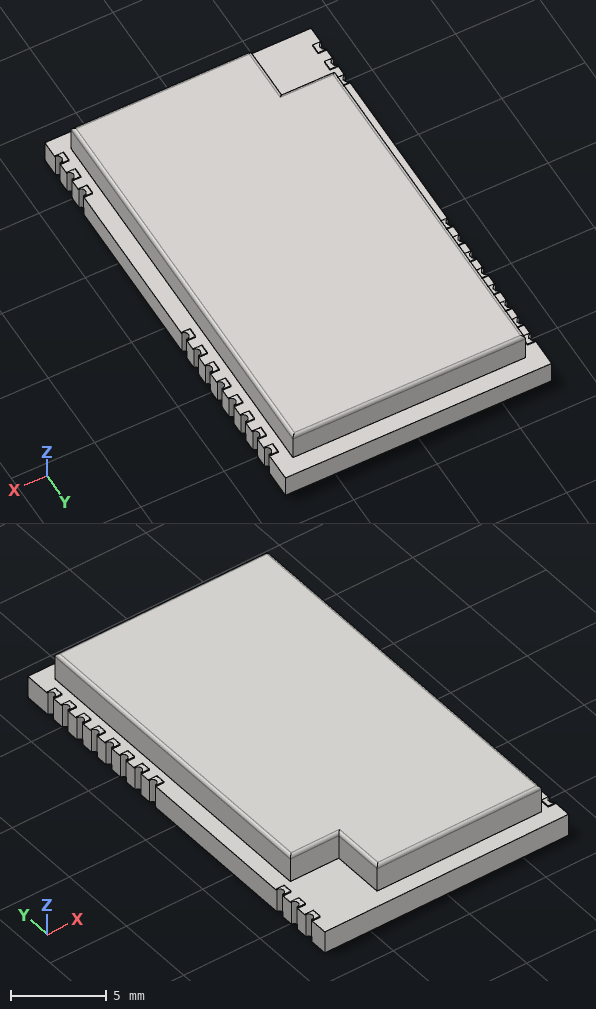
import cadquery as cq

board_width = 16.0
board_length = 26.0
board_thickness = 1.45

overall_height = 3.2
shield_margin = 1.01
corner_x = 4.19
corner_y = 4.37
shield_fillet = 0.2

contact_pitch = 1.27
notch_radius = 0.247
pad_width = 0.6
pad_length = 0.52
pad_thickness = 0.08
rear_count = 8
rear_offset = 2.0
front_count = 3
front_offset = 1.4

half_width = board_width / 2
half_length = board_length / 2

rear_rows = [half_length - rear_offset - i * contact_pitch for i in range(rear_count)]
front_rows = [-half_length + front_offset + i * contact_pitch for i in range(front_count)]
contact_points = [(side * half_width, y) for side in (-1, 1) for y in rear_rows + front_rows]


def make_board():
    return cq.Workplane("XY").box(
        board_width, board_length, board_thickness, centered=(True, True, False)
    )


def make_shield():
    """L-shaped can standing on the board, rounded along its top rim."""
    side = half_width - shield_margin
    end = half_length - shield_margin
    inner_x = -half_width + corner_x
    inner_y = -half_length + corner_y
    outline = [
        (-side, end),
        (side, end),
        (side, -end),
        (inner_x, -end),
        (inner_x, inner_y),
        (-side, inner_y),
    ]
    can = (
        cq.Workplane("XY")
        .workplane(offset=board_thickness)
        .polyline(outline)
        .close()
        .extrude(overall_height - board_thickness)
    )
    return can.faces(">Z").edges().fillet(shield_fillet)


def make_pads():
    """Thin pads on the board's top face, reaching inward from the long edges."""
    pads = (
        cq.Workplane("XY")
        .workplane(offset=board_thickness)
        .pushPoints(contact_points)
        .rect(2 * pad_length, pad_width)
        .extrude(pad_thickness)
    )
    board_column = cq.Workplane("XY").rect(board_width, board_length).extrude(overall_height)
    return pads.intersect(board_column)


def make_notches():
    """Round cutters centred on the long edges, passing through board and pads."""
    return (
        cq.Workplane("XY")
        .pushPoints(contact_points)
        .circle(notch_radius)
        .extrude(overall_height)
    )


result = make_board().union(make_shield()).union(make_pads()).cut(make_notches())